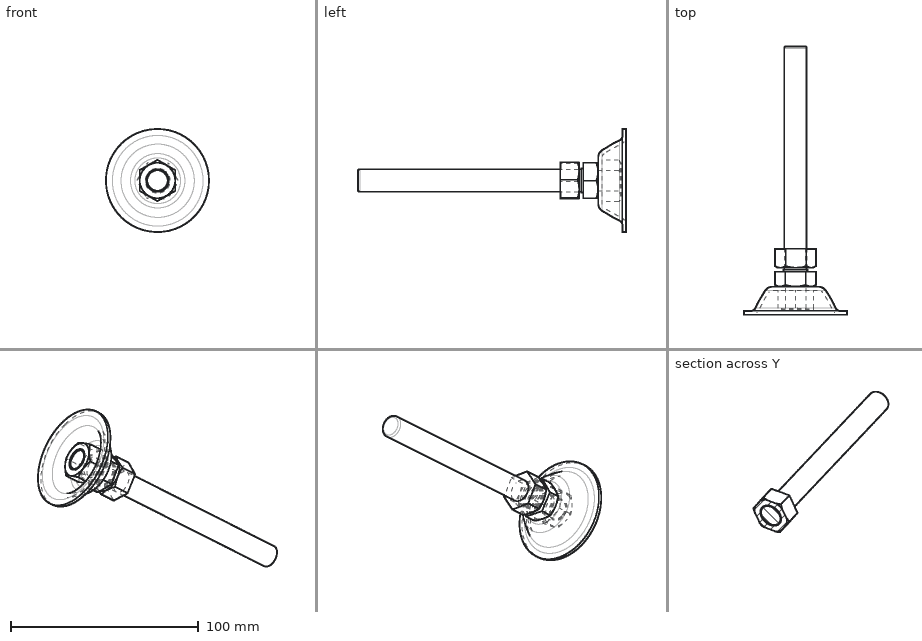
import cadquery as cq
import math

TOTAL_LENGTH = 143.0
MOUTH_Y = -TOTAL_LENGTH / 2

CUP_DIAMETER = 55.0
CUP_HEIGHT = 15.0
SHEET = 2.0
CROWN_FLAT_RADIUS = 12.2
SHOULDER_RADIUS = 4.9
SHOULDER_ANGLE = 55.0
FLARE_START_RADIUS = 24.2
FLARE_RADIUS = 3.1
FLARE_ANGLE = 64.0
WALL_BULGE = 0.3

ROD_RADIUS = 6.0
ROD_ROUNDING = 1.0
ACROSS_FLATS = 19.0
NUT_HEIGHT = 10.0
HEX_HEIGHT = 8.0
NUT_GAP = 2.0
COLLAR_RADIUS = 6.5
COLLAR_HEIGHT = 0.9
LOCK_NUT_TURN = 2.4
CLAMP_NUT_TURN = 30.0
HEX_CHAMFER_ANGLE = 30.0
TAIL_RADIUS = 5.5
BORE_CHAMFER = 0.6
FACE_SHARE = 0.99

CROWN_Y = MOUTH_Y + CUP_HEIGHT
FLOOR_Y = CROWN_Y - SHEET
HEX_TOP_Y = CROWN_Y + HEX_HEIGHT
LOCK_NUT_Y = HEX_TOP_Y + NUT_GAP
CLAMP_NUT_Y = FLOOR_Y - NUT_HEIGHT


def cylinder(radius, start_y, length):
    """Solid cylinder along +Y from start_y."""
    return cq.Workplane(cq.Solid.makeCylinder(radius, length, cq.Vector(0, start_y, 0), cq.Vector(0, 1, 0)))


def hexagon(start_y, height, turn):
    """Hexagonal prism along +Y with its corners chamfered at the -Y end."""
    corner_radius = ACROSS_FLATS / 2 / math.cos(math.radians(30))
    face_radius = ACROSS_FLATS / 2 * FACE_SHARE
    slope = math.tan(math.radians(HEX_CHAMFER_ANGLE))
    prism = (
        cq.Workplane("XZ", origin=(0, start_y, 0))
        .polygon(6, 2 * corner_radius)
        .extrude(-height)
        .rotate((0, 0, 0), (0, 1, 0), turn)
    )
    cone = cq.Workplane(
        cq.Solid.makeCone(
            face_radius, face_radius + height / slope, height, cq.Vector(0, start_y, 0), cq.Vector(0, 1, 0)
        )
    )
    return prism.intersect(cone)


def arc_point(centre, radius, degrees):
    angle = math.radians(degrees)
    return (centre[0] + radius * math.cos(angle), centre[1] + radius * math.sin(angle))


def bulge_point(start, end, bulge):
    """Point bowed outward from the middle of a wall that runs from start down to end."""
    run = end[0] - start[0]
    rise = end[1] - start[1]
    length = math.hypot(run, rise)
    return (
        (start[0] + end[0]) / 2 - rise / length * bulge,
        (start[1] + end[1]) / 2 + run / length * bulge,
    )


def make_cup():
    """Sheet cup: flat crown, rounded shoulder, bowed wall, flared rim and flat flange."""
    shoulder = (CROWN_FLAT_RADIUS, CROWN_Y - SHOULDER_RADIUS)
    flare = (FLARE_START_RADIUS, MOUTH_Y + SHEET + FLARE_RADIUS)
    shoulder_inner = SHOULDER_RADIUS - SHEET
    flare_inner = FLARE_RADIUS + SHEET
    shoulder_end = 90 - SHOULDER_ANGLE
    shoulder_mid = 90 - SHOULDER_ANGLE / 2
    flare_end = 270 - FLARE_ANGLE
    flare_mid = 270 - FLARE_ANGLE / 2
    outer_top = arc_point(shoulder, SHOULDER_RADIUS, shoulder_end)
    outer_bottom = arc_point(flare, FLARE_RADIUS, flare_end)
    inner_top = arc_point(shoulder, shoulder_inner, shoulder_end)
    inner_bottom = arc_point(flare, flare_inner, flare_end)
    return (
        cq.Workplane("XY")
        .moveTo(TAIL_RADIUS, CROWN_Y)
        .lineTo(CROWN_FLAT_RADIUS, CROWN_Y)
        .threePointArc(arc_point(shoulder, SHOULDER_RADIUS, shoulder_mid), outer_top)
        .threePointArc(bulge_point(outer_top, outer_bottom, WALL_BULGE), outer_bottom)
        .threePointArc(arc_point(flare, FLARE_RADIUS, flare_mid), (FLARE_START_RADIUS, MOUTH_Y + SHEET))
        .lineTo(CUP_DIAMETER / 2, MOUTH_Y + SHEET)
        .lineTo(CUP_DIAMETER / 2, MOUTH_Y)
        .lineTo(FLARE_START_RADIUS, MOUTH_Y)
        .threePointArc(arc_point(flare, flare_inner, flare_mid), inner_bottom)
        .threePointArc(bulge_point(inner_top, inner_bottom, WALL_BULGE), inner_top)
        .threePointArc(arc_point(shoulder, shoulder_inner, shoulder_mid), (CROWN_FLAT_RADIUS, FLOOR_Y))
        .lineTo(TAIL_RADIUS, FLOOR_Y)
        .close()
        .revolve(360, (0, 0, 0), (0, 1, 0))
    )


def make_stud():
    """Rod with a fixed hexagon and collar that rest on the crown of the cup."""
    rod = cylinder(ROD_RADIUS, CROWN_Y, TOTAL_LENGTH / 2 - CROWN_Y).faces(">Y").fillet(ROD_ROUNDING)
    tail = cylinder(TAIL_RADIUS, CLAMP_NUT_Y, CROWN_Y - CLAMP_NUT_Y)
    collar = cylinder(COLLAR_RADIUS, HEX_TOP_Y, COLLAR_HEIGHT)
    return rod.union(tail).union(hexagon(CROWN_Y, HEX_HEIGHT, 0)).union(collar)


def make_nut(start_y, turn, bore_radius):
    """Hexagon nut whose plain bore fits the stud and is countersunk at its -Y end."""
    nut = hexagon(start_y, NUT_HEIGHT, turn).cut(cylinder(bore_radius, start_y, NUT_HEIGHT))
    countersink = cq.Workplane(
        cq.Solid.makeCone(
            bore_radius + BORE_CHAMFER, bore_radius, BORE_CHAMFER, cq.Vector(0, start_y, 0), cq.Vector(0, 1, 0)
        )
    )
    return nut.cut(countersink)


cup = make_cup()
stud = make_stud()
lock_nut = make_nut(LOCK_NUT_Y, LOCK_NUT_TURN, ROD_RADIUS)
clamp_nut = make_nut(CLAMP_NUT_Y, CLAMP_NUT_TURN, TAIL_RADIUS)

result = cq.Compound.makeCompound([cup.val(), stud.val(), lock_nut.val(), clamp_nut.val()])